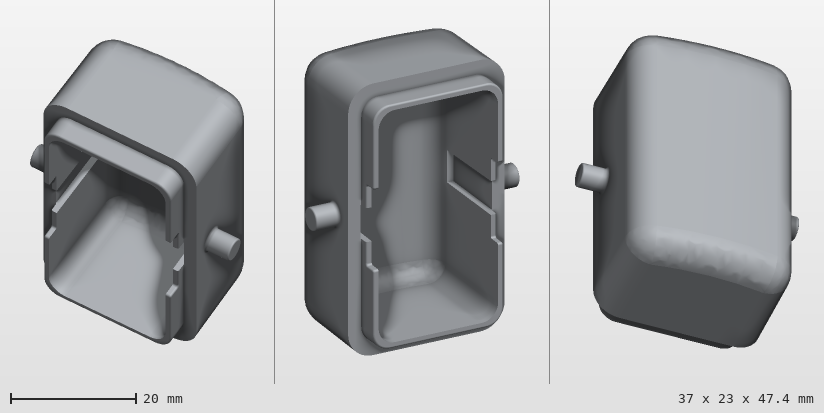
import cadquery as cq


body_width = 28.45
body_height = 47.4
body_depth = 19.0
body_radius = 4.5
draft_angle = 0.6
crown_radius = 63.05

skirt_width = 23.7
skirt_height = 42.55
skirt_length = 4.0
skirt_radius = 3.0
rim_round = 0.35
step_round = 0.4

cavity_width = 21.7
cavity_height = 40.55
back_wall = 2.28
cavity_radius = 3.0

notch_height = 14.05
notch_depth = 2.35
groove_height = 5.95
groove_spread = 24.0
groove_end = 12.75

pin_span = 37.0
pin_diameter = 4.0
pin_offset = 4.75
pin_root_round = 0.4
pin_tip_round = 0.3

clearance = 0.47


def box_between(width, y_start, y_end, height):
    """Box centred on X and Z that spans y_start to y_end."""
    return cq.Workplane("XY").box(width, y_end - y_start, height).translate((0, (y_start + y_end) / 2, 0))


def crowned_block(width, height, y_start, y_apex, arc_radius, edge_radius):
    """Drafted block, widest at y_start, with an arched back and rounded long and back edges."""
    length = y_apex - y_start
    block = (
        cq.Workplane("XZ", origin=(0, y_start, 0))
        .rect(width, height)
        .extrude(-(length + clearance), taper=draft_angle)
    )
    crown = (
        cq.Workplane("XY")
        .center(0, y_apex - arc_radius)
        .circle(arc_radius)
        .extrude(height, both=True)
    )
    block = block.intersect(crown)
    return block.edges("not(<Y)").fillet(edge_radius)


def make_skirt():
    """Solid plug with the stepped notches and a rounded rim; the cavity is cut later."""
    skirt = (
        cq.Workplane("XZ")
        .rect(skirt_width, skirt_height)
        .extrude(skirt_length, taper=draft_angle)
    )
    skirt = skirt.edges("not(#Y)").fillet(skirt_radius)
    notch_floor = notch_depth - skirt_length
    notch = box_between(skirt_width + clearance, -skirt_length - clearance, notch_floor, notch_height)
    skirt = skirt.cut(notch)
    step_zone = cq.selectors.BoxSelector(
        (-clearance, -skirt_length - clearance, -notch_height / 2 - clearance),
        (clearance, notch_floor + clearance, notch_height / 2 + clearance),
    )
    skirt = skirt.edges("|X").edges(step_zone).fillet(step_round)
    return skirt.edges("<Y and |Z").fillet(rim_round)


def add_pins(solid):
    """Add a coaxial pin on each X side, flared at its root and rounded at its tip."""
    pins = (
        cq.Workplane("YZ", origin=(-pin_span / 2, pin_offset, 0))
        .circle(pin_diameter / 2)
        .extrude(pin_span)
        .faces("<X or >X")
        .edges()
        .fillet(pin_tip_round)
    )
    solid = solid.union(pins)
    for side in (-1, 1):
        root_x = side * body_width / 2
        root_zone = cq.selectors.BoxSelector(
            (root_x - clearance, pin_offset - clearance, -clearance),
            (root_x + clearance, pin_offset + clearance, clearance),
        )
        solid = solid.edges(root_zone).fillet(pin_root_round)
    return solid


body = crowned_block(body_width, body_height, 0, body_depth, crown_radius, body_radius)
body = add_pins(body)

cavity = crowned_block(
    cavity_width,
    cavity_height,
    -skirt_length,
    body_depth - back_wall,
    crown_radius - back_wall,
    cavity_radius,
)
groove = (
    cq.Workplane("XZ", origin=(0, -skirt_length, 0))
    .rect(groove_spread, groove_height)
    .extrude(-(skirt_length + groove_end), taper=draft_angle)
)

result = body.union(make_skirt()).cut(cavity).cut(groove)